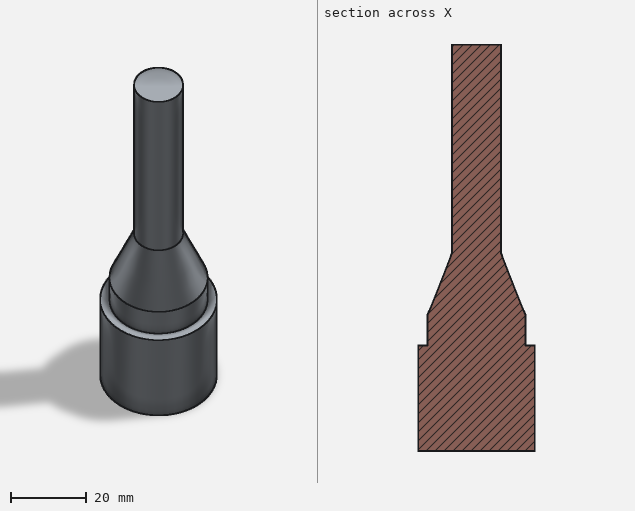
import cadquery as cq

total_height = 107.5
base_diameter = 31.0
base_height = 28.0
collar_diameter = 26.0
collar_height = 8.1
cone_height = 16.5
rod_diameter = 13.0

collar_top = base_height + collar_height
cone_top = collar_top + cone_height

half_section = (
    cq.Workplane("XZ")
    .moveTo(0, 0)
    .lineTo(base_diameter / 2, 0)
    .lineTo(base_diameter / 2, base_height)
    .lineTo(collar_diameter / 2, base_height)
    .lineTo(collar_diameter / 2, collar_top)
    .lineTo(rod_diameter / 2, cone_top)
    .lineTo(rod_diameter / 2, total_height)
    .lineTo(0, total_height)
    .close()
)

result = half_section.revolve(360, (0, 0, 0), (0, 1, 0))